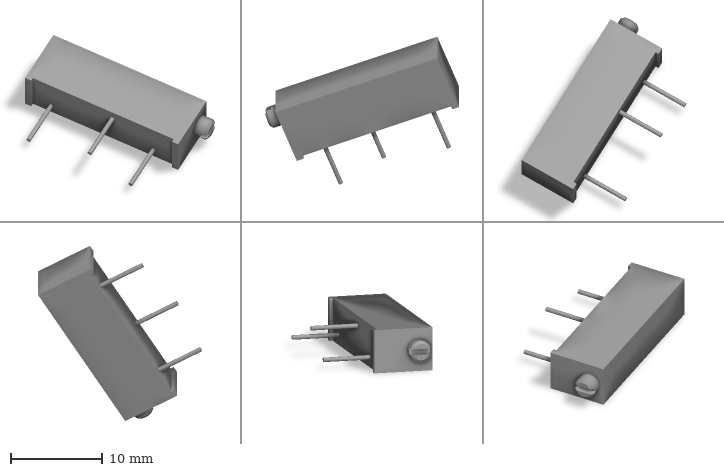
import cadquery as cq


body_length = 19.05
body_depth = 6.6
body_height = 4.83
standoff_width = 0.76
standoff_depth = 0.39

lead_diameter = 0.5
lead_reach = 4.93
lead_pitch = 2.54
first_lead_x = 3.05
lead_embed = 0.5

screw_diameter = 2.4
screw_length = 1.52
screw_chamfer = 0.29
screw_from_back = 1.7
slot_width = 0.69
slot_depth = 0.8


def make_housing():
    """Box with a shallow recess in its lead face, leaving a standoff at each end."""
    box = cq.Workplane("XY").box(body_length, body_depth, body_height, centered=(False, False, True))
    recess_length = body_length - 2 * standoff_width
    recess = (
        cq.Workplane("XY")
        .box(recess_length, standoff_depth, body_height, centered=(False, False, True))
        .translate((standoff_width, 0, 0))
    )
    return box.cut(recess)


def make_lead(x, z):
    """Round lead pointing along -Y, with its root inside the housing."""
    root_y = standoff_depth + lead_embed
    return (
        cq.Workplane("XZ", origin=(x, root_y, z))
        .circle(lead_diameter / 2)
        .extrude(root_y + lead_reach)
    )


def make_screw():
    """Chamfered screw head along +X with a driver slot running in Y."""
    axis_y = body_depth - screw_from_back
    head = (
        cq.Workplane("YZ", origin=(body_length, axis_y, 0))
        .circle(screw_diameter / 2)
        .extrude(screw_length)
        .faces(">X")
        .chamfer(screw_chamfer)
    )
    slot = (
        cq.Workplane("XY")
        .box(slot_depth, screw_diameter, slot_width, centered=(False, True, True))
        .translate((body_length + screw_length - slot_depth, axis_y, 0))
    )
    return head.cut(slot)


lead_grid = [(0, -1), (3, 1), (5, -1)]

result = make_housing().union(make_screw())
for steps, row_side in lead_grid:
    lead_x = first_lead_x + steps * lead_pitch
    lead_z = row_side * lead_pitch / 2
    result = result.union(make_lead(lead_x, lead_z))